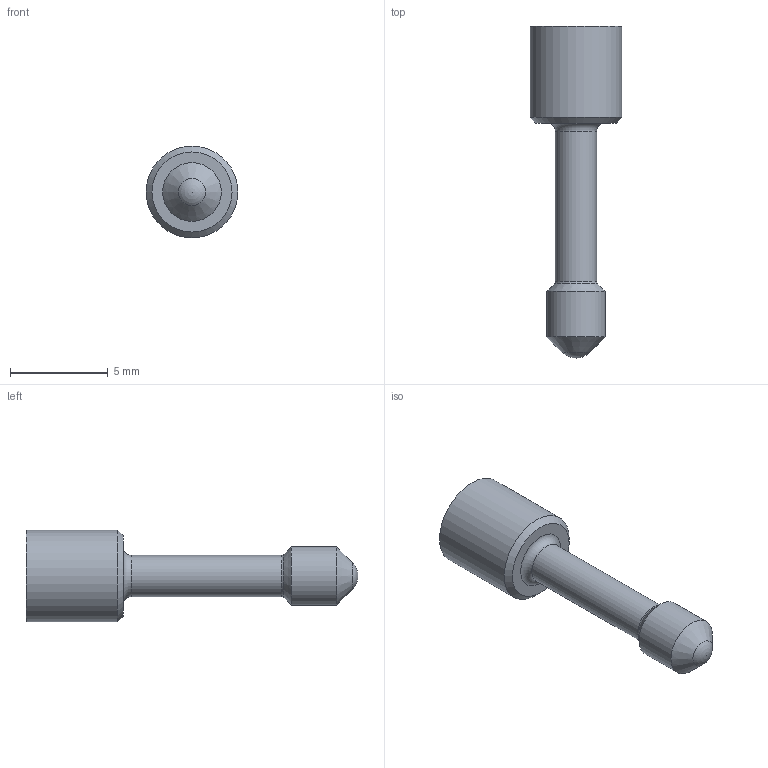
import cadquery as cq
import math


head_radius = 4.7 / 2
head_length = 4.97
head_chamfer = 0.3

shank_radius = 2.1 / 2
head_fillet_radius = 0.4
neck_fillet_radius = 0.2

pin_length = 12.0
guide_radius = 3.0 / 2
guide_back_from_tip = 3.4
tip_radius = 1.0
cone_angle = math.radians(45)

tip_end_y = -pin_length
tip_centre_y = tip_end_y + tip_radius
tip_edge_radius = tip_radius * math.cos(cone_angle)
tip_edge_y = tip_centre_y - tip_radius * math.sin(cone_angle)
half_cone_angle = (math.pi / 2 - cone_angle) / 2
tip_middle_radius = tip_radius * math.sin(half_cone_angle)
tip_middle_y = tip_centre_y - tip_radius * math.cos(half_cone_angle)

guide_front_y = tip_edge_y + (guide_radius - tip_edge_radius) / math.tan(cone_angle)
guide_back_y = tip_end_y + guide_back_from_tip
neck_y = guide_back_y + (guide_radius - shank_radius) / math.tan(cone_angle)

neck_tangent_length = neck_fillet_radius * math.tan(cone_angle / 2)
neck_cone_radius = shank_radius + neck_tangent_length * math.sin(cone_angle)
neck_cone_y = neck_y - neck_tangent_length * math.cos(cone_angle)
neck_shank_y = neck_y + neck_tangent_length
neck_middle_radius = shank_radius + neck_fillet_radius * (1 - math.cos(cone_angle / 2))
neck_middle_y = neck_shank_y - neck_fillet_radius * math.sin(cone_angle / 2)

fillet_middle = head_fillet_radius * (1 - math.cos(math.pi / 4))


def half_profile():
    """Half outline in the XY plane, from the tip along the outside to the head."""
    return (
        cq.Workplane("XY")
        .moveTo(0, tip_end_y)
        .threePointArc((tip_middle_radius, tip_middle_y), (tip_edge_radius, tip_edge_y))
        .lineTo(guide_radius, guide_front_y)
        .lineTo(guide_radius, guide_back_y)
        .lineTo(neck_cone_radius, neck_cone_y)
        .threePointArc((neck_middle_radius, neck_middle_y), (shank_radius, neck_shank_y))
        .lineTo(shank_radius, -head_fillet_radius)
        .threePointArc(
            (shank_radius + fillet_middle, -fillet_middle),
            (shank_radius + head_fillet_radius, 0),
        )
        .lineTo(head_radius - head_chamfer, 0)
        .lineTo(head_radius, head_chamfer)
        .lineTo(head_radius, head_length)
        .lineTo(0, head_length)
        .close()
    )


result = half_profile().revolve(360, (0, 0, 0), (0, 1, 0))